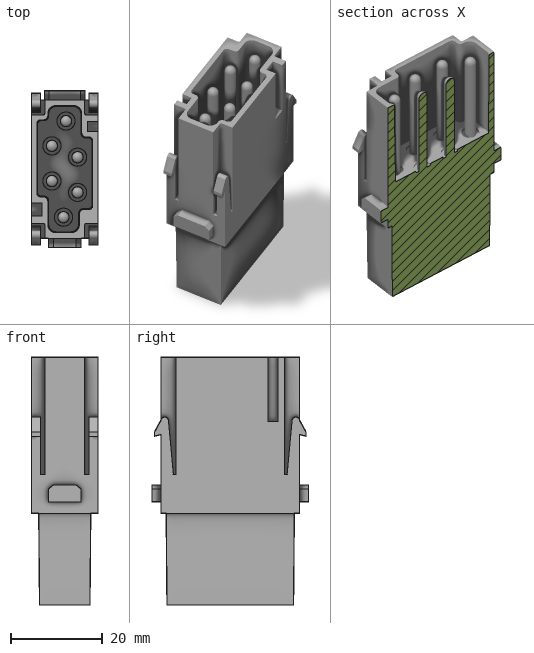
import cadquery as cq
import math

BODY_X = 14.6
BODY_Y = 30.2
BODY_HEIGHT = 34.05

BLOCK_X = 11.4
BLOCK_Y = 28.0
BLOCK_HEIGHT = 20.0
DRAFT_ANGLE = 0.5

NOTCH_X = 2.95
NOTCH_Y = 3.3
NOTCH_FLOOR_Z = 8.5
NOTCH_RADIUS = 0.4

ARM_WIDTH = 2.05
ARM_ROOT_DEPTH = 2.7
ARM_TIP_DEPTH = 1.6
ARM_SHOULDER_Z = 20.4
ARM_TIP_Z = 21.0
HOOK_REACH = 1.45
HOOK_TOP_Z = 17.7
HOOK_POINT_Z = 16.8
HOOK_ROOT_Z = 17.15

TAB_REACH = 2.0
TAB_BOTTOM_Z = 2.5
TAB_HEIGHT = 3.7
TAB_CHAMFER_X = 1.05
TAB_CHAMFER_Z = 0.9
FRONT_TAB_WIDTH = 7.1
REAR_TAB_WIDTH = 8.9

KEY_SLOT_DEPTH = 2.35
KEY_SLOT_LENGTH = 14.0
LEFT_SLOT_WIDTH = 2.9
LEFT_SLOT_Y = -8.8
RIGHT_SLOT_WIDTH = 2.2
RIGHT_SLOT_Y = 9.3

CAVITY_DEPTH = 22.0
CAVITY_SIDE_X = 6.1
CAVITY_NECK_X = 3.7
CAVITY_FRONT_NECK_X = 3.2
CAVITY_END_Y = 13.85
LEFT_REAR_STEP_Y = 10.75
LEFT_FRONT_STEP_Y = -6.05
RIGHT_REAR_STEP_Y = 7.0
RIGHT_FRONT_STEP_Y = -8.8
END_RADIUS = 1.8
STEP_RADIUS = 0.9
CAVITY_CORNERS = [
    (-CAVITY_NECK_X, -CAVITY_END_Y, END_RADIUS),
    (CAVITY_FRONT_NECK_X, -CAVITY_END_Y, END_RADIUS),
    (CAVITY_FRONT_NECK_X, RIGHT_FRONT_STEP_Y, STEP_RADIUS),
    (CAVITY_SIDE_X, RIGHT_FRONT_STEP_Y, STEP_RADIUS),
    (CAVITY_SIDE_X, RIGHT_REAR_STEP_Y, STEP_RADIUS),
    (CAVITY_NECK_X, RIGHT_REAR_STEP_Y, STEP_RADIUS),
    (CAVITY_NECK_X, CAVITY_END_Y, END_RADIUS),
    (-CAVITY_NECK_X, CAVITY_END_Y, END_RADIUS),
    (-CAVITY_NECK_X, LEFT_REAR_STEP_Y, STEP_RADIUS),
    (-CAVITY_SIDE_X, LEFT_REAR_STEP_Y, STEP_RADIUS),
    (-CAVITY_SIDE_X, LEFT_FRONT_STEP_Y, STEP_RADIUS),
    (-CAVITY_NECK_X, LEFT_FRONT_STEP_Y, STEP_RADIUS),
]

PIN_DIAMETER = 2.47
PIN_TIP_SETBACK = 1.0
RECESS_DIAMETER = 3.95
RECESS_DEPTH = 0.5
HALF_PIN_PATTERN = [(0.28, 10.48), (-2.8, 5.07), (2.8, 2.6)]

CAVITY_FLOOR_Z = BODY_HEIGHT - CAVITY_DEPTH
SIDES = (-1, 1)


def make_body():
    return cq.Workplane("XY").box(BODY_X, BODY_Y, BODY_HEIGHT, centered=(True, True, False))


def make_lower_block():
    return cq.Workplane("XY").rect(BLOCK_X, BLOCK_Y).extrude(-BLOCK_HEIGHT, taper=DRAFT_ANGLE)


def make_corner_notch(side_x, side_y):
    """Corner cutter; of its rounded edges only one lies inside the body."""
    return (
        cq.Workplane("XY", origin=(side_x * BODY_X / 2, side_y * BODY_Y / 2, NOTCH_FLOOR_Z))
        .rect(2 * NOTCH_X, 2 * NOTCH_Y)
        .extrude(BODY_HEIGHT - NOTCH_FLOOR_Z)
        .edges("|Z")
        .fillet(NOTCH_RADIUS)
    )


def make_latch_arm(side_x, side_y):
    """Tapered arm with a rounded tip and an outward barb, rising from the notch floor."""
    end_y = BODY_Y / 2
    profile = (
        cq.Workplane("YZ")
        .moveTo(end_y, NOTCH_FLOOR_Z)
        .lineTo(end_y, HOOK_ROOT_Z)
        .lineTo(end_y + HOOK_REACH, HOOK_POINT_Z)
        .lineTo(end_y + HOOK_REACH, HOOK_TOP_Z)
        .lineTo(end_y, ARM_SHOULDER_Z)
        .threePointArc((end_y - ARM_TIP_DEPTH / 2, ARM_TIP_Z), (end_y - ARM_TIP_DEPTH, ARM_SHOULDER_Z))
        .lineTo(end_y - ARM_ROOT_DEPTH, NOTCH_FLOOR_Z)
        .close()
    )
    arm = profile.extrude(ARM_WIDTH).translate((BODY_X / 2 - ARM_WIDTH, 0, 0))
    if side_x < 0:
        arm = arm.mirror("YZ")
    if side_y < 0:
        arm = arm.mirror("XZ")
    return arm


def make_tab(width, side_y):
    """Keying tab with both upper corners chamfered."""
    top_z = TAB_BOTTOM_Z + TAB_HEIGHT
    half = width / 2
    outline = [
        (-half, TAB_BOTTOM_Z),
        (half, TAB_BOTTOM_Z),
        (half, top_z - TAB_CHAMFER_Z),
        (half - TAB_CHAMFER_X, top_z),
        (-half + TAB_CHAMFER_X, top_z),
        (-half, top_z - TAB_CHAMFER_Z),
    ]
    plane = cq.Workplane("XZ", origin=(0, side_y * BODY_Y / 2, 0))
    return plane.polyline(outline).close().extrude(-side_y * TAB_REACH)


def make_key_slot(side_x, centre_y, width):
    return (
        cq.Workplane("XY", origin=(side_x * BODY_X / 2, centre_y, BODY_HEIGHT - KEY_SLOT_LENGTH))
        .rect(2 * KEY_SLOT_DEPTH, width)
        .extrude(KEY_SLOT_LENGTH)
    )


def rounded_outline(corners, plane):
    """Closed outline of straight runs joined by tangent arcs of the given radii."""
    count = len(corners)
    for index in range(count):
        x, y, radius = corners[index]
        corner = cq.Vector(x, y, 0)
        before = cq.Vector(*corners[index - 1][:2], 0)
        after = cq.Vector(*corners[(index + 1) % count][:2], 0)
        toward_before = (before - corner).normalized()
        toward_after = (after - corner).normalized()
        start = corner + toward_before * radius
        end = corner + toward_after * radius
        middle = corner + (toward_before + toward_after) * (radius * (1 - math.sqrt(0.5)))
        if index == 0:
            plane = plane.moveTo(start.x, start.y)
        else:
            plane = plane.lineTo(start.x, start.y)
        plane = plane.threePointArc((middle.x, middle.y), (end.x, end.y))
    return plane.close()


def make_cavity():
    rim = cq.Workplane("XY", origin=(0, 0, BODY_HEIGHT))
    return rounded_outline(CAVITY_CORNERS, rim).extrude(-CAVITY_DEPTH, taper=DRAFT_ANGLE)


def pin_positions():
    """Half the pattern plus its copy turned 180 degrees about the body axis."""
    return HALF_PIN_PATTERN + [(-x, -y) for x, y in HALF_PIN_PATTERN]


def make_recesses():
    return (
        cq.Workplane("XY", origin=(0, 0, CAVITY_FLOOR_Z))
        .pushPoints(pin_positions())
        .circle(RECESS_DIAMETER / 2)
        .extrude(-RECESS_DEPTH)
    )


def make_pin(x, y):
    radius = PIN_DIAMETER / 2
    base_z = CAVITY_FLOOR_Z - RECESS_DEPTH
    nose_centre_z = BODY_HEIGHT - PIN_TIP_SETBACK - radius
    shank = cq.Workplane("XY", origin=(x, y, base_z)).circle(radius).extrude(nose_centre_z - base_z)
    nose = cq.Workplane("XY", origin=(x, y, nose_centre_z)).sphere(radius)
    return shank.union(nose)


result = make_body().union(make_lower_block())
for corner_x in SIDES:
    for corner_y in SIDES:
        result = result.cut(make_corner_notch(corner_x, corner_y))
        result = result.union(make_latch_arm(corner_x, corner_y))
result = result.union(make_tab(FRONT_TAB_WIDTH, -1))
result = result.union(make_tab(REAR_TAB_WIDTH, 1))
result = result.cut(make_key_slot(-1, LEFT_SLOT_Y, LEFT_SLOT_WIDTH))
result = result.cut(make_key_slot(1, RIGHT_SLOT_Y, RIGHT_SLOT_WIDTH))
result = result.cut(make_cavity())
result = result.cut(make_recesses())
for pin_x, pin_y in pin_positions():
    result = result.union(make_pin(pin_x, pin_y))